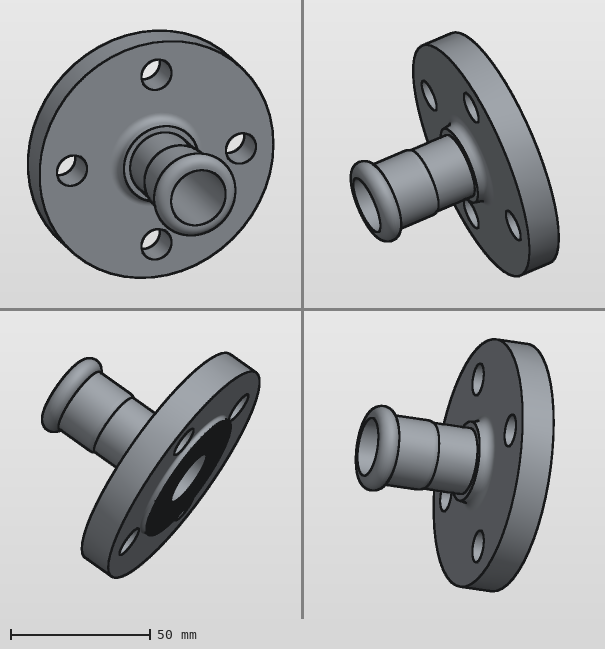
import cadquery as cq
import math


flange_radius = 90 / 2
flange_thickness = 12.0
face_height = 2.2
face_radius = 50.0 / 2
face_fillet = 1.0
flange_back = face_height + flange_thickness

bolt_hole_count = 4
bolt_hole_diameter = 11.5
bolt_circle_radius = 32.5

groove_count = 14
groove_inner_radius = 22.05 / 2
groove_pitch = (face_radius - groove_inner_radius) / groove_count
groove_depth = groove_pitch / 2

hub_end = 19.0
hub_end_radius = 14.4
hub_taper = math.radians(10)
hub_fillet = 3.0

bore_radius = 21.0 / 2
pipe_radius = 24.0 / 2
socket_radius = 25.3 / 2
socket_start = 33.7
socket_flare_length = 1.9
total_length = 56.5
bead_radius = 3.7
bead_center_radius = 11.7
bead_center_x = total_length - bead_radius


def revolve_about_x(profile):
    return profile.close().revolve(360, (0, 0, 0), (1, 0, 0))


def make_flange():
    fillet_start = face_height - face_fillet
    arc_offset = face_fillet * (1 - math.sqrt(0.5))
    profile = (
        cq.Workplane("XY")
        .lineTo(0, face_radius)
        .lineTo(fillet_start, face_radius)
        .threePointArc(
            (face_height - arc_offset, face_radius + arc_offset),
            (face_height, face_radius + face_fillet),
        )
        .lineTo(face_height, flange_radius)
        .lineTo(flange_back, flange_radius)
        .lineTo(flange_back, 0)
    )
    return revolve_about_x(profile)


def make_hub():
    taper_start = flange_back + hub_fillet * (1 - math.sin(hub_taper))
    taper_start_radius = hub_end_radius + (hub_end - taper_start) * math.tan(hub_taper)
    center_x = flange_back + hub_fillet
    center_radius = taper_start_radius + hub_fillet * math.cos(hub_taper)
    middle_angle = (math.pi / 2 - hub_taper) / 2
    arc_middle = (
        center_x - hub_fillet * math.cos(middle_angle),
        center_radius - hub_fillet * math.sin(middle_angle),
    )
    profile = (
        cq.Workplane("XY")
        .moveTo(flange_back, 0)
        .lineTo(flange_back, center_radius)
        .threePointArc(arc_middle, (taper_start, taper_start_radius))
        .lineTo(hub_end, hub_end_radius)
        .lineTo(hub_end, 0)
    )
    return revolve_about_x(profile)


def make_pipe():
    flare_end = socket_start + socket_flare_length
    flare_rise = socket_radius - pipe_radius
    flare_arc_radius = (socket_flare_length**2 + flare_rise**2) / (2 * flare_rise)
    half_angle = math.asin(socket_flare_length / flare_arc_radius) / 2
    flare_middle = (
        flare_end - flare_arc_radius * math.sin(half_angle),
        socket_radius - flare_arc_radius * (1 - math.cos(half_angle)),
    )
    profile = (
        cq.Workplane("XY")
        .moveTo(flange_back, 0)
        .lineTo(flange_back, pipe_radius)
        .lineTo(socket_start, pipe_radius)
        .threePointArc(flare_middle, (flare_end, socket_radius))
        .lineTo(bead_center_x, socket_radius)
        .lineTo(bead_center_x, 0)
    )
    return revolve_about_x(profile)


def make_bead():
    bead_start = bead_center_x - bead_radius
    profile = (
        cq.Workplane("XY")
        .moveTo(bead_start, 0)
        .lineTo(bead_start, bead_center_radius)
        .threePointArc(
            (bead_center_x, bead_center_radius + bead_radius),
            (total_length, bead_center_radius),
        )
        .lineTo(total_length, 0)
    )
    return revolve_about_x(profile)


def make_face_grooves():
    profile = cq.Workplane("XY").moveTo(-groove_depth, groove_inner_radius)
    profile = profile.lineTo(0, groove_inner_radius)
    for index in range(groove_count):
        inner_edge = groove_inner_radius + index * groove_pitch
        profile = profile.lineTo(groove_depth, inner_edge + groove_pitch / 2)
        profile = profile.lineTo(0, inner_edge + groove_pitch)
    profile = profile.lineTo(-groove_depth, face_radius)
    return revolve_about_x(profile)


def make_bore():
    return cq.Workplane("YZ").circle(bore_radius).extrude(total_length)


def make_bolt_holes():
    return (
        cq.Workplane("YZ")
        .polarArray(bolt_circle_radius, 0, 360, bolt_hole_count)
        .circle(bolt_hole_diameter / 2)
        .extrude(flange_back)
    )


body = make_flange().union(make_hub()).union(make_pipe()).union(make_bead())
result = body.cut(make_bore()).cut(make_bolt_holes()).cut(make_face_grooves())